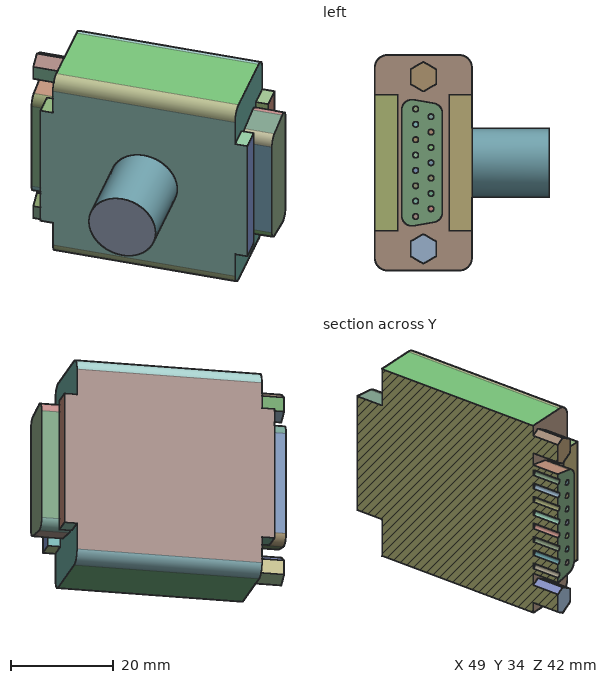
import cadquery as cq
import math

overall_length = 49.0
overall_depth = 34.0
housing_length = 36.95
housing_depth = 18.95
housing_height = 42.0
corner_radius = 2.5

flange_span = 41.95
flange_height = 26.5
flange_gap = 10.0

cable_diameter = 13.5
cable_length = overall_depth - housing_depth

shell_radius = 2.0
shell_offset = 0.25
shell_length = (overall_length - housing_length) / 2
socket_shell_depth = 7.95
socket_shell_height = 24.6
socket_shell_taper = 10.0
plug_shell_depth = 9.5
plug_shell_height = 25.95
plug_shell_taper = 7.0

contact_diameter = 1.1
contact_pitch = 3.0
contact_row_spacing = 3.0
long_row_count = 8

hex_across_flats = 5.0
hex_spacing = 33.5


def make_housing():
    block = cq.Workplane("XY").box(housing_length, housing_depth, housing_height)
    return block.edges("|X").fillet(corner_radius)


def make_flanges():
    block = cq.Workplane("XY").box(flange_span, housing_depth, flange_height)
    gap = cq.Workplane("XY").box(flange_span, flange_gap, flange_height)
    return block.cut(gap)


def make_shell(depth, height, taper_angle, start_x):
    taper = math.radians(taper_angle)
    corner_loss = shell_radius * (math.tan(taper) + 1 / math.cos(taper) - 1)
    long_half = height / 2 + corner_loss
    short_half = long_half - depth * math.tan(taper)
    long_y = shell_offset + depth / 2
    short_y = shell_offset - depth / 2
    outline = [(long_y, long_half), (short_y, short_half), (short_y, -short_half), (long_y, -long_half)]
    shell = cq.Workplane("YZ").workplane(offset=start_x).polyline(outline).close().extrude(shell_length)
    return shell.edges("|X").fillet(shell_radius)


def make_jack_screw(z):
    across_corners = hex_across_flats / math.cos(math.pi / 6)
    return (
        cq.Workplane("YZ", origin=(-overall_length / 2, 0, z))
        .transformed(rotate=(0, 0, 90))
        .polygon(6, across_corners)
        .extrude(shell_length)
    )


def make_contact_row(count, y):
    centres = [(y, (i - (count - 1) / 2) * contact_pitch) for i in range(count)]
    return (
        cq.Workplane("YZ")
        .workplane(offset=-overall_length / 2)
        .pushPoints(centres)
        .circle(contact_diameter / 2)
        .extrude(shell_length)
    )


def make_cable():
    return (
        cq.Workplane("XZ")
        .workplane(offset=housing_depth / 2)
        .circle(cable_diameter / 2)
        .extrude(cable_length)
    )


result = (
    make_housing()
    .union(make_flanges())
    .union(make_cable())
    .union(make_shell(socket_shell_depth, socket_shell_height, socket_shell_taper, -overall_length / 2))
    .union(make_shell(plug_shell_depth, plug_shell_height, plug_shell_taper, housing_length / 2))
    .union(make_jack_screw(-hex_spacing / 2))
    .union(make_jack_screw(hex_spacing / 2))
    .cut(make_contact_row(long_row_count, contact_row_spacing / 2))
    .cut(make_contact_row(long_row_count - 1, -contact_row_spacing / 2))
)